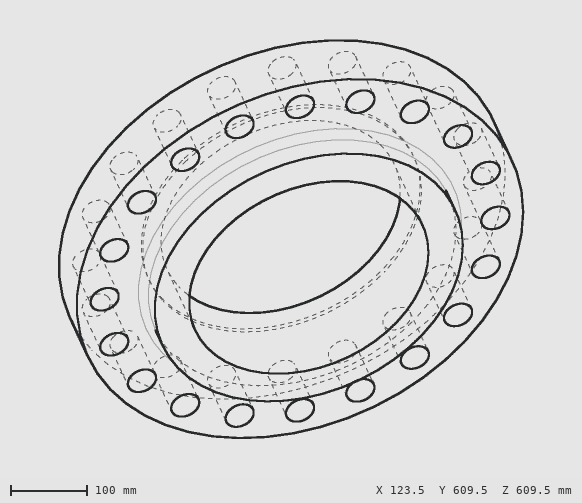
import cadquery as cq

flange_diameter = 609.5
flange_thickness = 79.0
raised_face_diameter = 381.0
raised_face_height = 6.0
hub_diameter = 420.5
hub_length = 38.5
hub_fillet = 10.5
bore_diameter = 327.0
bolt_circle_diameter = 533.5
bolt_hole_diameter = 38.5
bolt_hole_count = 20

flange_front = raised_face_height
flange_back = flange_front + flange_thickness
total_length = flange_back + hub_length


def disc(diameter, start, end):
    """Solid disc on the X axis between two axial positions."""
    return cq.Workplane("YZ", origin=(start, 0, 0)).circle(diameter / 2).extrude(end - start)


def hub_profile():
    """Half section of the hub, with a fillet flaring into the flange back."""
    hub_radius = hub_diameter / 2
    fillet_end = flange_back + hub_fillet
    return (
        cq.Workplane("XY")
        .moveTo(flange_front, 0)
        .lineTo(flange_front, hub_radius + hub_fillet)
        .lineTo(flange_back, hub_radius + hub_fillet)
        .radiusArc((fillet_end, hub_radius), -hub_fillet)
        .lineTo(total_length, hub_radius)
        .lineTo(total_length, 0)
        .close()
    )


def bolt_holes():
    """Ring of through holes, the first one on the Y axis."""
    return (
        cq.Workplane("YZ")
        .polarArray(bolt_circle_diameter / 2, 0, 360, bolt_hole_count)
        .circle(bolt_hole_diameter / 2)
        .extrude(total_length)
    )


raised_face = disc(raised_face_diameter, 0, flange_front)
flange = disc(flange_diameter, flange_front, flange_back)
hub = hub_profile().revolve(360, (0, 0, 0), (1, 0, 0))
bore = disc(bore_diameter, 0, total_length)

result = flange.union(raised_face).union(hub).cut(bore).cut(bolt_holes())